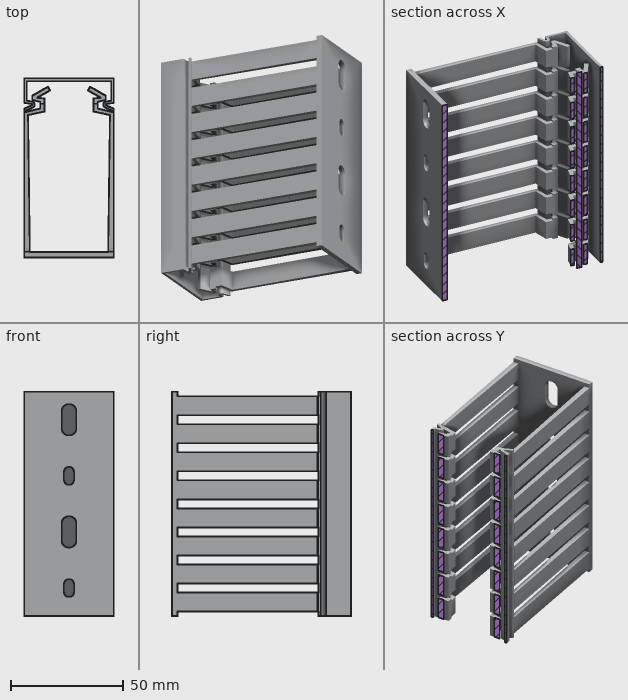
import cadquery as cq
import math

width = 40.0
depth = 80.0
length = 100.0
half_width = width / 2

base_thickness = 2.6
slot_pitch = length / 2
large_slot_length = 14.0
large_slot_width = 6.6
small_slot_length = 8.0
small_slot_width = 4.5
small_slot_height = length / 8
large_slot_height = 3 * length / 8

finger_count = 8
finger_pitch = length / finger_count
finger_gap = 3.9
latch_gap = 2.0
finger_root_thickness = 2.6
finger_tip_thickness = 1.8
shoulder_height = 64.8
finger_inner_top = 63.5

latch_thickness = 2.0
throat_inset = 7.1
latch_bottom = 65.1
throat_bottom = 66.5
throat_top = 69.4
latch_inner_height = 71.0
latch_step_height = 68.6
nose_inset = 3.6
nose_bottom = 70.6
nose_chamfer = 0.5
nose_top = 72.2
crook_inset = 5.9
crook_height = 71.3
guide_tip_inset = 10.6
guide_angle = 30.0

lid_thickness = 1.2
lid_top_thickness = 1.4
lip_bend_inset = 3.2
lip_bend_height = 68.2
lip_inner_radius = 0.3
lip_upper_angle = 8.0
lip_lower_angle = 25.0
lip_bottom = 65.4


def slope(angle):
    return math.tan(math.radians(angle))


def extrude_left_profile(outline):
    """Shift an (inset, Y) outline wire to the left side and extrude it over the length."""
    return outline.close().extrude(length).translate((-half_width, 0, 0))


def mirror_to_both_sides(left_side):
    return left_side.union(left_side.mirror("YZ"))


def make_finger_side():
    """Left side of the base before its slits are cut: a tapered wall ending in a hooked latch."""
    latch_inset = throat_inset + latch_thickness
    tip_height = nose_top + (guide_tip_inset - nose_inset) * slope(guide_angle)
    tip_run = latch_thickness * math.sin(math.radians(guide_angle))
    tip_drop = latch_thickness * math.cos(math.radians(guide_angle))
    outline = cq.Workplane("XY").polyline([
        (0, base_thickness),
        (0, shoulder_height),
        (throat_inset, throat_bottom),
        (throat_inset, throat_top),
        (nose_inset + nose_chamfer, nose_bottom - nose_chamfer),
        (nose_inset, nose_bottom),
        (nose_inset, nose_top),
        (guide_tip_inset, tip_height),
        (guide_tip_inset + tip_run, tip_height - tip_drop),
        (crook_inset, crook_height),
        (latch_inset, latch_inner_height),
        (latch_inset, latch_bottom),
        (finger_tip_thickness, finger_inner_top),
        (finger_root_thickness, base_thickness),
    ])
    return extrude_left_profile(outline)


def make_slit(center_z):
    """Gap between two fingers, narrower beside the latches than beside the walls."""
    wall_part = cq.Workplane("XY").box(
        width, latch_step_height - base_thickness, finger_gap, centered=(True, False, True)
    ).translate((0, base_thickness, center_z))
    latch_part = cq.Workplane("XY").box(
        width, depth - latch_step_height, latch_gap, centered=(True, False, True)
    ).translate((0, latch_step_height, center_z))
    return wall_part.union(latch_part)


def make_mounting_slots(slot_length, slot_width, first_height):
    return (
        cq.Workplane("XZ")
        .pushPoints([(0, first_height), (0, first_height + slot_pitch)])
        .slot2D(slot_length, slot_width, 90)
        .extrude(-base_thickness)
    )


def make_base():
    plate = cq.Workplane("XY").box(width, base_thickness, length, centered=(True, False, False))
    sides = mirror_to_both_sides(make_finger_side())
    for index in range(finger_count + 1):
        sides = sides.cut(make_slit(index * finger_pitch))
    plate = plate.cut(make_mounting_slots(large_slot_length, large_slot_width, large_slot_height))
    plate = plate.cut(make_mounting_slots(small_slot_length, small_slot_width, small_slot_height))
    return plate.union(sides)


def bend_point(radius, angle):
    """Point on the lip's bend, as (inset, Y)."""
    return (
        lip_bend_inset + radius * math.cos(math.radians(angle)),
        lip_bend_height + radius * math.sin(math.radians(angle)),
    )


def make_lid_side():
    """Left half of the lid: half the top, one wall and its V-shaped lip."""
    outer_radius = lip_inner_radius + lid_thickness
    upper_normal = 90 - lip_upper_angle
    lower_normal = lip_lower_angle - 90
    outer_start = bend_point(outer_radius, upper_normal)
    outer_end = bend_point(outer_radius, lower_normal)
    inner_start = bend_point(lip_inner_radius, upper_normal)
    inner_end = bend_point(lip_inner_radius, lower_normal)
    lip_root = outer_start[1] + (outer_start[0] - lid_thickness) * slope(lip_upper_angle)
    wall_end = inner_start[1] + inner_start[0] * slope(lip_upper_angle)
    lip_tip_inset = outer_end[0] - (outer_end[1] - lip_bottom) / slope(lip_lower_angle)
    lip_tip_top = inner_end[1] - inner_end[0] * slope(lip_lower_angle)
    outline = (
        cq.Workplane("XY")
        .moveTo(half_width, depth)
        .lineTo(0, depth)
        .lineTo(0, wall_end)
        .lineTo(*inner_start)
        .threePointArc(bend_point(lip_inner_radius, 0), inner_end)
        .lineTo(0, lip_tip_top)
        .lineTo(0, lip_bottom)
        .lineTo(lip_tip_inset, lip_bottom)
        .lineTo(*outer_end)
        .threePointArc(bend_point(outer_radius, 0), outer_start)
        .lineTo(lid_thickness, lip_root)
        .lineTo(lid_thickness, depth - lid_top_thickness)
        .lineTo(half_width, depth - lid_top_thickness)
    )
    return extrude_left_profile(outline)


base = make_base()
lid = mirror_to_both_sides(make_lid_side())
result = cq.Compound.makeCompound([base.solids().val(), lid.solids().val()])